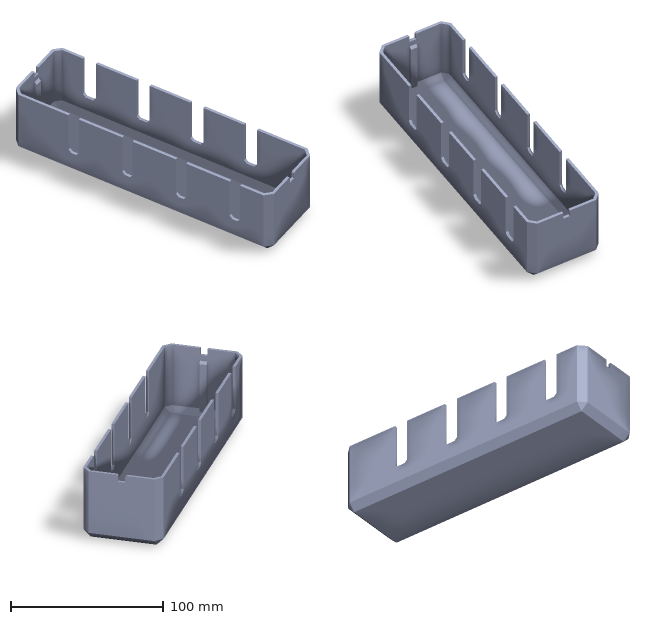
import cadquery as cq

length = 200.0
width = 55.0
height = 50.0
wall = 2.0
outer_chamfer = 5.0
inner_chamfer = 4.0

slot_count = 4
slot_pitch = 41.5
slot_offset = slot_pitch / 4
front_slot_width = 8.0
front_slot_depth = 32.0
slot_clearance = 1.0
slot_chamfer = 2.0

notch_width = 5.0
notch_depth = 5.0
notch_lead_in = 0.8
rib_projection = 1.8
rib_drop = 9.0


def chamfered_block(size_x, size_y, size_z, base, chamfer):
    """Block standing on z = base, chamfered at its corners and around its bottom."""
    block = cq.Workplane("XY").workplane(offset=base)
    block = block.box(size_x, size_y, size_z, centered=(True, True, False))
    return block.edges("|Z or <Z").chamfer(chamfer)


def slot_cutter(x, y, slot_width, slot_depth):
    """Slot open at the rim, with chamfered lower corners, centred on a long wall."""
    block = cq.Workplane("XY").box(slot_width, 2 * wall, 2 * slot_depth)
    block = block.faces("<Z").edges("|Y").chamfer(slot_chamfer)
    return block.translate((x, y, height))


def end_rib(side):
    """Rib on the inside of an end wall, with a 45 degree sloping top; side is -1 or 1."""
    wall_x = side * length / 2
    inner_x = side * (length / 2 - wall)
    face_x = inner_x - side * rib_projection
    rib_top = height - rib_drop
    outline = [
        (wall_x, wall),
        (face_x, wall),
        (face_x, rib_top - rib_projection),
        (inner_x, rib_top),
        (wall_x, rib_top),
    ]
    return cq.Workplane("XZ").polyline(outline).close().extrude(notch_width / 2, both=True)


def lead_in_cutter():
    """Triangular prism that chamfers both rim corners of the +X notch."""
    reach = notch_width / 2 + notch_lead_in
    outline = [(-reach, height), (reach, height), (0, height - reach)]
    prism = cq.Workplane("YZ").polyline(outline).close().extrude(2 * wall)
    return prism.translate((length / 2 - wall, 0, 0))


tray = chamfered_block(length, width, height, 0, outer_chamfer)
cavity = chamfered_block(length - 2 * wall, width - 2 * wall, height - wall, wall, inner_chamfer)
result = tray.cut(cavity)

rear_slot_width = front_slot_width + 2 * slot_clearance
rear_slot_depth = front_slot_depth + slot_clearance
wall_y = (width - wall) / 2
for index in range(slot_count):
    slot_x = slot_offset + (index - (slot_count - 1) / 2) * slot_pitch
    result = result.cut(slot_cutter(slot_x, -wall_y, front_slot_width, front_slot_depth))
    result = result.cut(slot_cutter(-slot_x, wall_y, rear_slot_width, rear_slot_depth))

for side in (-1, 1):
    result = result.union(end_rib(side).intersect(tray))

end_notches = cq.Workplane("XY").box(length, notch_width, 2 * notch_depth)
end_notches = end_notches.translate((0, 0, height))
result = result.cut(end_notches)
result = result.cut(lead_in_cutter())